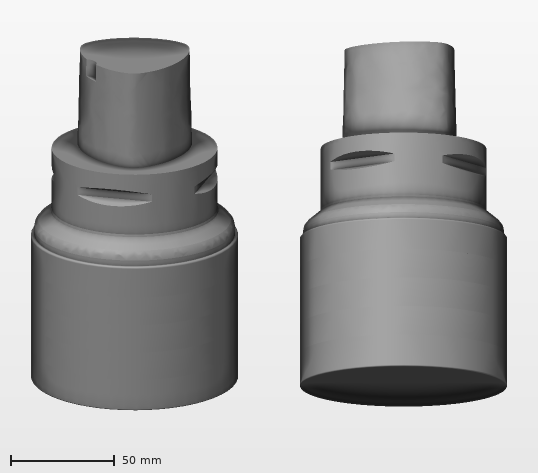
import cadquery as cq
import math

ring_diameter = 100.1
end_ring_height = 15.6
middle_ring_height = 14.0
middle_ring_count = 3
top_edge_radius = 1.0
bottom_edge_radius = 0.7
stack_height = 2 * end_ring_height + middle_ring_count * middle_ring_height

overall_height = 164.7
neck_diameter = 97.2
cone_bottom_z = 78.7
cone_top_radius = 40.5
cone_top_z = 85.3
cone_edge_radius = 5.6
flange_diameter = 80.0
flange_bottom_z = 86.5
flange_top_z = 117.0

groove_count = 4
groove_first_angle = 45.0
groove_center_z = 104.7
groove_floor_height = 3.8
groove_depth = 4.6
groove_half_angle = 27.0

shank_base_radius = 27.7
shank_lobe_height = 2.3
shank_taper_per_side = 1 / 40
shank_curve_points = 48

notch_radius = 6.6
notch_floor_y = -21.9
notch_height = 8.5


def make_ring(bottom_z, height):
    return cq.Workplane("XY").workplane(offset=bottom_z).circle(ring_diameter / 2).extrude(height)


def make_rings():
    heights = [end_ring_height] + [middle_ring_height] * middle_ring_count + [end_ring_height]
    rings = []
    bottom_z = 0.0
    for height in heights:
        rings.append(make_ring(bottom_z, height))
        bottom_z += height
    rings[0] = rings[0].faces("<Z").edges().fillet(bottom_edge_radius)
    rings[-1] = rings[-1].faces(">Z").edges().fillet(top_edge_radius)
    return rings


def make_holder_body():
    body = (
        cq.Workplane("XZ")
        .moveTo(0, stack_height)
        .lineTo(neck_diameter / 2, stack_height)
        .lineTo(neck_diameter / 2, cone_bottom_z)
        .lineTo(cone_top_radius, cone_top_z)
        .lineTo(flange_diameter / 2, flange_bottom_z)
        .lineTo(flange_diameter / 2, flange_top_z)
        .lineTo(0, flange_top_z)
        .close()
        .revolve(360, (0, 0, 0), (0, 1, 0))
    )
    cone_edge = cq.selectors.NearestToPointSelector((0, 0, cone_bottom_z))
    return body.edges(cone_edge).fillet(cone_edge_radius)


def make_groove():
    """Straight groove across +X, opening outward from a flat floor."""
    floor_x = flange_diameter / 2 - groove_depth
    half_floor = groove_floor_height / 2
    cutter_depth = 2 * groove_depth
    half_mouth = half_floor + cutter_depth * math.tan(math.radians(groove_half_angle))
    return (
        cq.Workplane("XZ")
        .polyline([
            (floor_x, groove_center_z - half_floor),
            (floor_x + cutter_depth, groove_center_z - half_mouth),
            (floor_x + cutter_depth, groove_center_z + half_mouth),
            (floor_x, groove_center_z + half_floor),
        ])
        .close()
        .extrude(flange_diameter / 2, both=True)
    )


def lobe_point(angle, radius):
    """Point whose normal lies at angle; the profile's reach that way is radius - lobe * sin(3 angle)."""
    reach = radius - shank_lobe_height * math.sin(3 * angle)
    slope = -3 * shank_lobe_height * math.cos(3 * angle)
    return (
        reach * math.cos(angle) - slope * math.sin(angle),
        reach * math.sin(angle) + slope * math.cos(angle),
    )


def shank_wire(z):
    radius = shank_base_radius - shank_taper_per_side * (z - flange_top_z)
    points = [
        lobe_point(2 * math.pi * i / shank_curve_points, radius) for i in range(shank_curve_points)
    ]
    edge = cq.Edge.makeSpline([cq.Vector(x, y, z) for x, y in points], periodic=True)
    return cq.Wire.assembleEdges([edge])


def make_shank():
    shank = cq.Solid.makeLoft([shank_wire(flange_top_z), shank_wire(overall_height)], True)
    notch = (
        cq.Workplane("XY")
        .workplane(offset=overall_height - notch_height)
        .center(0, notch_floor_y - notch_radius)
        .circle(notch_radius)
        .extrude(notch_height)
    )
    return cq.Workplane(shank).cut(notch)


def make_holder():
    holder = make_holder_body()
    for i in range(groove_count):
        angle = groove_first_angle + i * 360 / groove_count
        holder = holder.cut(make_groove().rotate((0, 0, 0), (0, 0, 1), angle))
    return holder.union(make_shank())


holder = make_holder()
rings = make_rings()
result = cq.Compound.makeCompound([*holder.solids().vals(), *[ring.val() for ring in rings]])